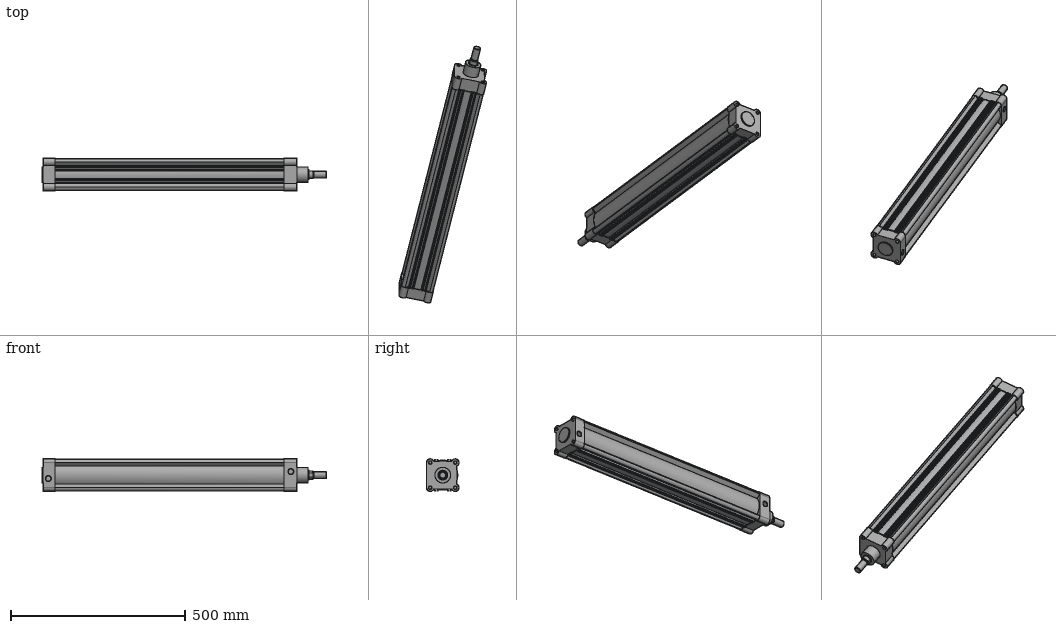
import cadquery as cq
import math


pilot_height = 4.0
body_start = pilot_height
body_length = 728.0
body_end = body_start + body_length
rear_cap_length = 34.0
front_head_length = 37.0
barrel_start = body_start + rear_cap_length
barrel_end = body_end - front_head_length

lobe_offset = 36.0
lobe_radius = 11.0
end_half_width = lobe_offset + lobe_radius
recessed_half_width = 40.3
screw_hole_diameter = 8.4
screw_hole_mouth_diameter = 10.0
screw_hole_depth = 16.0
port_diameter = 15.0
port_mouth_diameter = 17.0
port_depth = 15.0
port_offset = 10.0
rear_port_from_face = 15.0
front_port_from_face = 17.0

pilot_diameter = 45.0
nose_length = 32.5
nose_end = body_end + nose_length
seal_diameter = 28.0
seal_length = 2.0
seal_end = nose_end + seal_length

barrel_radius = 43.3
barrel_lobe_radius = 10.0
barrel_half_width = lobe_offset + barrel_lobe_radius
flank_inner = 26.0
rail_outer = 24.0
rail_inner = 13.0
rail_top = 45.5
valley_floor = 36.0
arch_half_width = 10.5
slot_centre = (rail_outer + rail_inner) / 2
slot_opening = 4.5
slot_width = 7.5
slot_lip = 1.0
slot_floor = 38.0

rod_diameter = 25.0
rod_extension = 46.0
rod_shoulder = body_end + rod_extension
flats_width = 22.0
neck_diameter = 17.5
neck_length = 2.0
thread_diameter = 20.0
thread_length = 40.0
thread_end = rod_shoulder + thread_length
thread_chamfer = 1.5


def rod_along_x(diameter, start, end):
    """Round bar on the cylinder axis from start to end."""
    return cq.Workplane("YZ", origin=(start, 0, 0)).circle(diameter / 2).extrude(end - start)


def box_between(x_range, y_range, z_range):
    """Rectangular block given by its limits on each axis."""
    sizes = [high - low for low, high in (x_range, y_range, z_range)]
    corner = (x_range[0], y_range[0], z_range[0])
    return cq.Workplane("XY").box(*sizes, centered=False).translate(corner)


def corner_points():
    """Centres of the four corner lobes in the YZ plane."""
    return [(y, z) for y in (-lobe_offset, lobe_offset) for z in (-lobe_offset, lobe_offset)]


def end_block(start, length):
    """Square block with four round lobes, recessed on three sides and flat on the -Y side."""
    x_range = (start, start + length)
    core_sides = (-recessed_half_width, recessed_half_width)
    block = box_between(x_range, core_sides, core_sides)
    lobes = (
        cq.Workplane("YZ", origin=(start, 0, 0))
        .pushPoints(corner_points())
        .circle(lobe_radius)
        .extrude(length)
    )
    port_side = box_between(x_range, (-end_half_width, 0), (-lobe_offset, lobe_offset))
    return block.union(lobes).union(port_side).clean()


def countersunk_plug(diameter, mouth_diameter, depth):
    """Solid in the shape of a blind hole with a 45-degree mouth, pointing along +X from the origin."""
    mouth_depth = (mouth_diameter - diameter) / 2
    profile = [
        (0, 0),
        (0, mouth_diameter / 2),
        (mouth_depth, diameter / 2),
        (depth, diameter / 2),
        (depth, 0),
    ]
    return cq.Workplane("XY").polyline(profile).close().revolve(360, (0, 0, 0), (1, 0, 0))


def cut_screw_holes(block, face_x, turn):
    """Blind holes at the lobe centres, drilled from face_x; turn is 0 to drill along +X, 180 along -X."""
    plug = countersunk_plug(screw_hole_diameter, screw_hole_mouth_diameter, screw_hole_depth)
    plug = plug.rotate((0, 0, 0), (0, 0, 1), turn)
    for y, z in corner_points():
        block = block.cut(plug.translate((face_x, y, z)))
    return block


def cut_port(block, x, z):
    """Blind air port drilled along +Y from the flat -Y side."""
    plug = countersunk_plug(port_diameter, port_mouth_diameter, port_depth)
    plug = plug.rotate((0, 0, 0), (0, 0, 1), 90)
    return block.cut(plug.translate((x, -end_half_width, z)))


def make_rear_cap():
    cap = end_block(body_start, rear_cap_length)
    cap = cap.union(rod_along_x(pilot_diameter, 0, body_start))
    cap = cut_screw_holes(cap, body_start, 0)
    return cut_port(cap, body_start + rear_port_from_face, -port_offset)


def make_front_head():
    head = end_block(barrel_end, front_head_length)
    head = head.union(rod_along_x(pilot_diameter, body_end, nose_end))
    head = head.union(rod_along_x(seal_diameter, nose_end, seal_end))
    head = cut_screw_holes(head, body_end, 180)
    head = cut_port(head, body_end - front_port_from_face, port_offset)
    return head.cut(rod_along_x(rod_diameter, barrel_end, seal_end))


def make_barrel():
    """Extruded profile: curved sides, corner lobes, two T-slot rails on top and two below."""
    side_y = math.sqrt(barrel_radius**2 - flank_inner**2)
    arch_z = math.sqrt(barrel_radius**2 - arch_half_width**2)
    arc_mid = barrel_lobe_radius * math.cos(math.radians(45))

    quarter = (
        cq.Workplane("YZ", origin=(barrel_start, 0, 0))
        .moveTo(0, 0)
        .lineTo(barrel_radius, 0)
        .radiusArc((side_y, flank_inner), -barrel_radius)
        .lineTo(barrel_half_width, lobe_offset)
        .threePointArc((lobe_offset + arc_mid, lobe_offset + arc_mid), (lobe_offset, barrel_half_width))
        .lineTo(flank_inner, valley_floor)
        .lineTo(rail_outer, valley_floor)
        .lineTo(rail_outer, rail_top)
        .lineTo(slot_centre + slot_opening / 2, rail_top)
        .lineTo(slot_centre + slot_opening / 2, rail_top - slot_lip)
        .lineTo(slot_centre + slot_width / 2, rail_top - slot_lip)
        .lineTo(slot_centre + slot_width / 2, slot_floor)
        .lineTo(slot_centre - slot_width / 2, slot_floor)
        .lineTo(slot_centre - slot_width / 2, rail_top - slot_lip)
        .lineTo(slot_centre - slot_opening / 2, rail_top - slot_lip)
        .lineTo(slot_centre - slot_opening / 2, rail_top)
        .lineTo(rail_inner, rail_top)
        .lineTo(rail_inner, valley_floor)
        .lineTo(arch_half_width, valley_floor)
        .lineTo(arch_half_width, arch_z)
        .radiusArc((0, barrel_radius), -barrel_radius)
        .close()
        .extrude(barrel_end - barrel_start)
    )
    half = quarter.union(quarter.mirror("XZ"))
    return half.union(half.mirror("XY")).clean()


def make_piston_rod():
    rod = rod_along_x(rod_diameter, barrel_end, rod_shoulder)
    for side in (-1, 1):
        y_limits = sorted((side * flats_width / 2, side * rod_diameter))
        flat = box_between(
            (seal_end, rod_shoulder), y_limits, (-rod_diameter, rod_diameter)
        )
        rod = rod.cut(flat)
    neck_end = rod_shoulder + neck_length
    neck = rod_along_x(neck_diameter, rod_shoulder, neck_end)
    thread = rod_along_x(thread_diameter, neck_end, thread_end).faces("<X or >X").chamfer(thread_chamfer)
    return rod.union(neck).union(thread)


rear_cap = make_rear_cap()
front_head = make_front_head()
barrel = make_barrel()
piston_rod = make_piston_rod()

result = cq.Compound.makeCompound(
    [rear_cap.val(), barrel.val(), front_head.val(), piston_rod.val()]
)